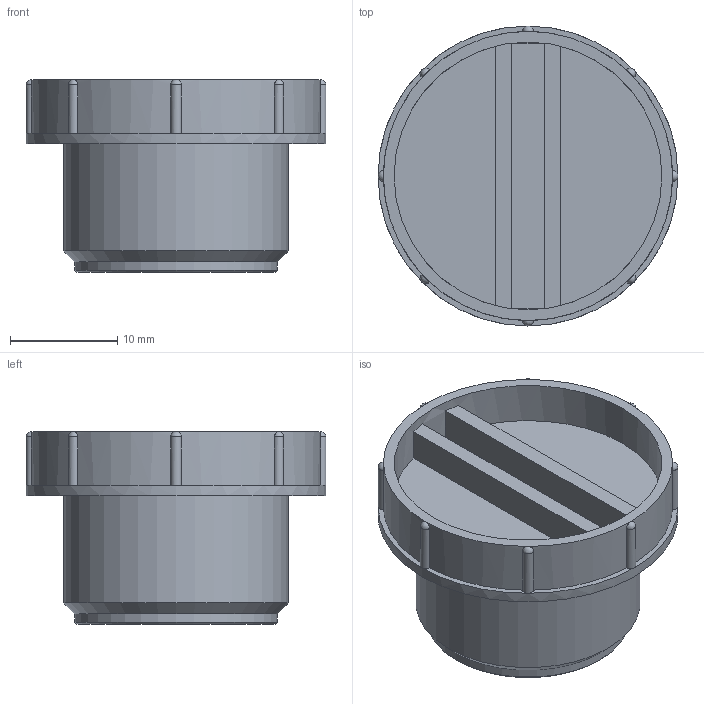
import cadquery as cq

total_height = 18.0
rim_height = 5.0
flange_thickness = 1.0
flange_top = total_height - rim_height
flange_bottom = flange_top - flange_thickness
spigot_height = 1.0
taper_height = 1.0

flange_diameter = 28.0
rim_diameter = 27.0
recess_diameter = 25.0
body_diameter = 20.95
spigot_diameter = 18.95
spigot_chamfer = 0.2

recess_depth = 4.0
recess_floor = total_height - recess_depth
bar_thickness = 1.5
bar_gap = 3.0
bar_height = 3.0

rib_count = 8
rib_radius = (flange_diameter - rim_diameter) / 2
rib_circle_radius = rim_diameter / 2
rib_dome_center = total_height - rib_radius


def make_turned_body():
    """Solid of revolution: spigot, taper, body, flange and rim."""
    spigot_radius = spigot_diameter / 2
    body_radius = body_diameter / 2
    flange_radius = flange_diameter / 2
    rim_radius = rim_diameter / 2
    profile = [
        (0, 0),
        (spigot_radius - spigot_chamfer, 0),
        (spigot_radius, spigot_chamfer),
        (spigot_radius, spigot_height),
        (body_radius, spigot_height + taper_height),
        (body_radius, flange_bottom),
        (flange_radius, flange_bottom),
        (flange_radius, flange_top),
        (rim_radius, flange_top),
        (rim_radius, total_height),
        (0, total_height),
    ]
    return cq.Workplane("XZ").polyline(profile).close().revolve(360, (0, 0), (0, 1))


def make_recess_cylinder(height):
    """Cylinder of the recess diameter standing on the recess floor."""
    return cq.Workplane("XY", origin=(0, 0, recess_floor)).circle(recess_diameter / 2).extrude(height)


def make_bars():
    """Two parallel bars along Y, ending on the round recess wall."""
    bar_offset = (bar_gap + bar_thickness) / 2
    blanks = (
        cq.Workplane("XY", origin=(0, 0, recess_floor))
        .pushPoints([(-bar_offset, 0), (bar_offset, 0)])
        .rect(bar_thickness, recess_diameter)
        .extrude(bar_height)
    )
    return blanks.intersect(make_recess_cylinder(bar_height))


def make_rib():
    """One grip rib on the +X side, from the flange to the rim top."""
    shank = (
        cq.Workplane("XY", origin=(rib_circle_radius, 0, flange_top))
        .circle(rib_radius)
        .extrude(rib_dome_center - flange_top)
    )
    dome = cq.Workplane("XY", origin=(rib_circle_radius, 0, rib_dome_center)).sphere(rib_radius)
    return shank.union(dome)


result = make_turned_body()
rib = make_rib()
for index in range(rib_count):
    rib_angle = index * 360 / rib_count
    result = result.union(rib.rotate((0, 0, 0), (0, 0, 1), rib_angle))
result = result.cut(make_recess_cylinder(recess_depth)).union(make_bars())